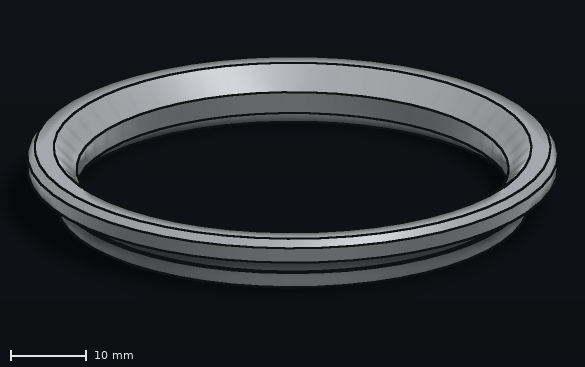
import cadquery as cq

outer_diameter = 70.0
height = 8.0
bore_diameter = 57.0

rim_height = 3.0
rim_chamfer = 1.0

mouth_diameter = 63.0
mouth_depth = 3.0

bore_chamfer = 2.0

lip_diameter = 62.15
lip_height = 2.0
groove_diameter = 61.05

outer_radius = outer_diameter / 2
bore_radius = bore_diameter / 2
mouth_radius = mouth_diameter / 2
lip_radius = lip_diameter / 2
groove_radius = groove_diameter / 2
rim_bottom = height - rim_height

section = (
    cq.Workplane("XZ")
    .moveTo(bore_radius, bore_chamfer)
    .lineTo(bore_radius + bore_chamfer, 0)
    .lineTo(lip_radius, 0)
    .lineTo(lip_radius, lip_height)
    .lineTo(groove_radius, lip_height)
    .lineTo(groove_radius, rim_bottom)
    .lineTo(outer_radius, rim_bottom)
    .lineTo(outer_radius, height - rim_chamfer)
    .lineTo(outer_radius - rim_chamfer, height)
    .lineTo(mouth_radius, height)
    .lineTo(bore_radius, height - mouth_depth)
    .close()
)

result = section.revolve(360, (0, 0, 0), (0, 1, 0))